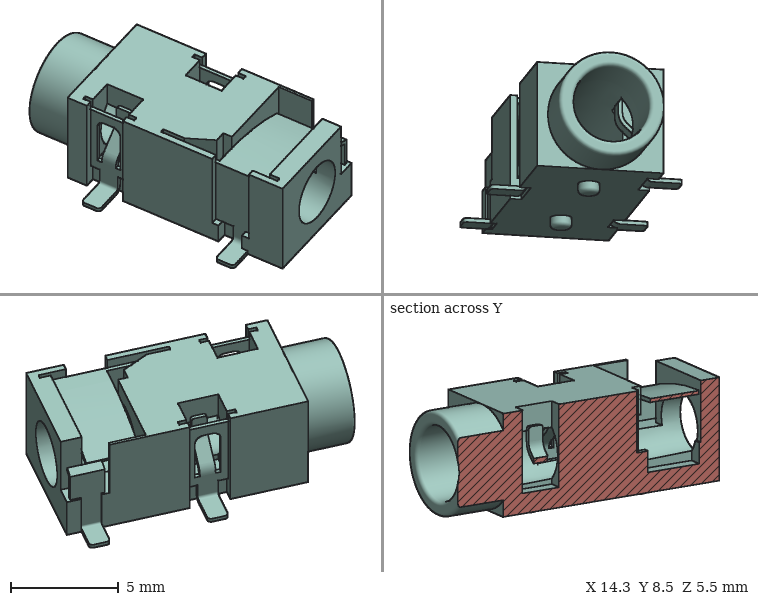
import cadquery as cq
import math


length = 14.3
height = 5.0
half_width = 3.0
nose_length = 2.5
nose_diameter = 5.0
nose_fillet = 0.19
axis_z = height / 2

bore_diameter = 3.6
bore_mouth_fillet = 0.2
rear_bore_diameter = 3.15

pin_diameter = 1.0
pin_length = 0.5
pin_fillet = 0.19
pin_positions = (5.0, 10.98)

sheet = 0.2
plate_inner = 2.47
plate_outer = plate_inner + sheet
plate_bottom = 1.0
plate_top = 4.53

foot_reach = 4.25
foot_width = 1.0
foot_corner = 0.19

side_contacts = ((4.55, -1), (7.3, 1))
side_plate_width = 2.8
side_pocket_width = 1.97
side_pocket_inner = 1.23
side_bend = 0.15
window_width = 1.27
window_bottom = 1.52
window_top = 4.0
window_radius = 0.43

tongue_width = 0.77
tongue_tip_inner = 1.22
tongue_low_bend_z = 1.75
tongue_high_bend_z = 2.9
tongue_low_radius = 0.51
tongue_high_radius = 0.66
tongue_tip_radius = 0.15

tip_plate_start = 7.42
tip_plate_end = 13.8
strap_start = 10.52
strap_end = 13.18
strap_flat_end = -1.77
strap_tip_y = 2.49
strap_radius = 11.44
tip_leg_start = 11.4
tip_leg_width = 0.67
tip_bend = 0.26

tip_window_start = 10.44
tip_window_end = 12.45
leg_gap_start = 10.78
leg_gap_end = 12.07

cavity_start = 10.4
cavity_end = 13.27
cavity_floor = 2.03
cavity_side = 2.86
notch_tip = 8.58
notch_start = 9.92
notch_inner = -1.22
notch_outer = -1.79
far_wall_end = 12.21
rear_wall_side = 2.09

switch_start = 12.41
switch_end = 14.1
switch_outer = 2.9
switch_inner = switch_outer - sheet
switch_leg_start = 12.58
switch_bend = 0.1
lip_edge_y = 2.46
lip_edge_z = 3.65
lip_angle = math.radians(23)


def block(x0, x1, y0, y1, z0, z1):
    """Box between two opposite corners; the Y limits may come in either order."""
    low_y = min(y0, y1)
    return cq.Workplane("XY").box(x1 - x0, abs(y1 - y0), z1 - z0, centered=False).translate((x0, low_y, z0))


def cylinder_x(x0, x1, diameter):
    """Cylinder on the axis of the bore."""
    return cq.Workplane("YZ", origin=(x0, 0, axis_z)).circle(diameter / 2).extrude(x1 - x0)


def profile_x(x0):
    """Sketch plane across the part at x0, with Y and Z as its axes."""
    return cq.Workplane("YZ", origin=(x0, 0, 0))


def leg_with_foot(start, leg_width, side, outer, top, bend):
    """Upright leg at X = start, bent outward into a flat solder foot with rounded corners."""
    inner = outer - sheet
    bend_y = outer + bend
    bend_z = sheet + bend
    diagonal = math.sqrt(0.5)
    inside_mid = (side * (bend_y - bend * diagonal), bend_z - bend * diagonal)
    outside_mid = (side * (bend_y - bend_z * diagonal), bend_z - bend_z * diagonal)
    leg = (
        profile_x(start)
        .moveTo(side * inner, top)
        .lineTo(side * inner, bend_z)
        .threePointArc(outside_mid, (side * bend_y, 0))
        .lineTo(side * bend_y, sheet)
        .threePointArc(inside_mid, (side * outer, bend_z))
        .lineTo(side * outer, top)
        .close()
        .extrude(leg_width)
    )
    foot = block(start, start + foot_width, side * bend_y, side * foot_reach, 0, sheet)
    end_edges = "|Z and >Y" if side > 0 else "|Z and <Y"
    return leg.union(foot.edges(end_edges).fillet(foot_corner))


def make_housing():
    housing = block(nose_length, length, -half_width, half_width, 0, height)
    nose = cylinder_x(0, nose_length, nose_diameter).faces("<X").edges().fillet(nose_fillet)
    housing = housing.union(nose)
    for x in pin_positions:
        pin = cq.Workplane("XY", origin=(x, 0, sheet)).circle(pin_diameter / 2).extrude(-pin_length - sheet)
        housing = housing.union(pin.faces("<Z").edges().fillet(pin_fillet))
    return housing


def make_bore():
    mouth_diameter = bore_diameter + 2 * bore_mouth_fillet
    flare = cylinder_x(0, bore_mouth_fillet, mouth_diameter)
    lip = (
        cq.Workplane("XY", origin=(0, 0, axis_z))
        .center(bore_mouth_fillet, mouth_diameter / 2)
        .circle(bore_mouth_fillet)
        .revolve(360, (0, -mouth_diameter / 2, 0), (1, -mouth_diameter / 2, 0))
    )
    bore = (
        cq.Workplane("XY", origin=(0, 0, axis_z))
        .polyline(
            [
                (0, 0),
                (0, bore_diameter / 2),
                (nose_length, bore_diameter / 2),
                (length, rear_bore_diameter / 2),
                (length, 0),
            ]
        )
        .close()
        .revolve(360, (0, 0, 0), (1, 0, 0))
    )
    return bore.union(flare.cut(lip))


def side_contact_pocket(x, side):
    """Pocket for one side contact: spring room, plate slot and gap around the leg."""
    x0 = x - side_pocket_width / 2
    x1 = x + side_pocket_width / 2
    spring_room = block(x0, x1, side * side_pocket_inner, side * half_width, plate_bottom, height)
    leg_gap = block(x0, x1, side * plate_inner, side * half_width, 0, plate_bottom)
    half_plate = side_plate_width / 2
    slot = block(x - half_plate, x + half_plate, side * plate_inner, side * plate_outer, plate_bottom, height)
    return spring_room.union(leg_gap).union(slot)


def tongue(x, side):
    """Spring tongue: rises from the window sill, leans inward and ends upright."""
    root = plate_inner
    tip = tongue_tip_inner
    lean = math.atan2(root - tip, tongue_high_bend_z - tongue_low_bend_z)
    miter = sheet * math.tan(lean / 2)
    points = [
        (root, window_bottom),
        (root, tongue_low_bend_z),
        (tip, tongue_high_bend_z),
        (tip, window_top),
        (tip + sheet, window_top),
        (tip + sheet, tongue_high_bend_z + miter),
        (root + sheet, tongue_low_bend_z + miter),
        (root + sheet, window_bottom),
    ]
    inner_low, inner_high, outer_high, outer_low = points[1], points[2], points[5], points[6]
    strip = profile_x(x - tongue_width / 2).polyline([(side * y, z) for y, z in points]).close()
    strip = strip.extrude(tongue_width)

    def bend_edge(corner):
        y, z = corner
        return cq.selectors.NearestToPointSelector((x, side * y, z))

    bends = [
        (inner_low, tongue_low_radius),
        (outer_low, tongue_low_radius + sheet),
        (outer_high, tongue_high_radius),
        (inner_high, tongue_high_radius + sheet),
    ]
    for corner, radius in bends:
        strip = strip.edges(bend_edge(corner)).fillet(radius)
    return strip.faces(">Z").edges("|Y").fillet(tongue_tip_radius)


def side_contact(x, side):
    half_plate = side_plate_width / 2
    plate = block(x - half_plate, x + half_plate, side * plate_inner, side * plate_outer, plate_bottom, plate_top)
    half_window = window_width / 2
    window = block(
        x - half_window, x + half_window, side * plate_inner, side * plate_outer, window_bottom, window_top
    )
    plate = plate.cut(window.faces(">Z").edges("|Y").fillet(window_radius))
    leg = leg_with_foot(x - foot_width / 2, foot_width, side, plate_outer, plate_bottom, side_bend)
    return plate.union(tongue(x, side)).union(leg)


def make_rear_cavity():
    """Open cavity around the strap, with the openings in the side and rear walls."""
    depth = height - cavity_floor
    main_room = block(cavity_start, cavity_end, -plate_inner, cavity_side, cavity_floor, height)
    relief = (
        cq.Workplane("XY", origin=(0, 0, cavity_floor))
        .polyline(
            [
                (notch_tip, -plate_inner),
                (notch_start, notch_outer),
                (notch_start, notch_inner),
                (cavity_start, notch_inner),
                (cavity_start, -plate_inner),
            ]
        )
        .close()
        .extrude(depth)
    )
    spring_well = block(cavity_start, strap_end, -plate_inner, notch_inner, plate_bottom, cavity_floor)
    far_wall_gap = block(far_wall_end, length, rear_wall_side, half_width, cavity_floor, height)
    switch_leg_end = switch_leg_start + foot_width
    switch_gap = block(switch_leg_start, switch_leg_end, switch_inner, half_width, 0, cavity_floor)
    slot = block(tip_plate_start, tip_plate_end, -plate_outer, -plate_inner, plate_bottom, height)
    wall_window = block(tip_window_start, tip_window_end, -half_width, -plate_inner, plate_bottom, height)
    leg_gap = block(leg_gap_start, leg_gap_end, -half_width, -plate_inner, 0, plate_bottom)
    cavity = main_room
    for opening in (relief, spring_well, far_wall_gap, switch_gap, slot, wall_window, leg_gap):
        cavity = cavity.union(opening)
    return cavity


def make_tip_contact():
    """Plate with a strap that leaves its top edge and curves down toward +Y."""
    plate = block(tip_plate_start, tip_plate_end, -plate_outer, -plate_inner, plate_bottom, plate_top)
    sweep = math.asin((strap_tip_y - strap_flat_end) / strap_radius)

    def arc_point(radius, angle):
        y = strap_flat_end + radius * math.sin(angle)
        z = plate_top - strap_radius + radius * math.cos(angle)
        return (y, z)

    under_radius = strap_radius - sheet
    strap = (
        profile_x(strap_start)
        .moveTo(-plate_outer, plate_top)
        .lineTo(*arc_point(strap_radius, 0))
        .threePointArc(arc_point(strap_radius, sweep / 2), arc_point(strap_radius, sweep))
        .lineTo(*arc_point(under_radius, sweep))
        .threePointArc(arc_point(under_radius, sweep / 2), arc_point(under_radius, 0))
        .lineTo(-plate_outer, plate_top - sheet)
        .close()
        .extrude(strap_end - strap_start)
    )
    leg = leg_with_foot(tip_leg_start, tip_leg_width, -1, plate_outer, plate_bottom, tip_bend)
    return plate.union(strap).union(leg)


def make_switch_terminal():
    """Upright in the rear corner whose sloped lip meets the end of the strap."""
    slope = math.tan(lip_angle)
    lip_under_y = lip_edge_y - sheet * math.sin(lip_angle)
    lip_under_z = lip_edge_z - sheet * math.cos(lip_angle)
    upright = (
        profile_x(switch_start)
        .polyline(
            [
                (lip_edge_y, lip_edge_z),
                (switch_outer, lip_edge_z - (switch_outer - lip_edge_y) * slope),
                (switch_outer, cavity_floor),
                (switch_inner, cavity_floor),
                (switch_inner, lip_under_z - (switch_inner - lip_under_y) * slope),
                (lip_under_y, lip_under_z),
            ]
        )
        .close()
        .extrude(switch_end - switch_start)
    )
    leg = leg_with_foot(switch_leg_start, foot_width, 1, switch_outer, cavity_floor, switch_bend)
    return upright.union(leg)


result = make_housing().cut(make_bore()).cut(make_rear_cavity())
for contact_x, contact_side in side_contacts:
    result = result.cut(side_contact_pocket(contact_x, contact_side))
for contact_x, contact_side in side_contacts:
    result = result.union(side_contact(contact_x, contact_side))
result = result.union(make_tip_contact()).union(make_switch_terminal())